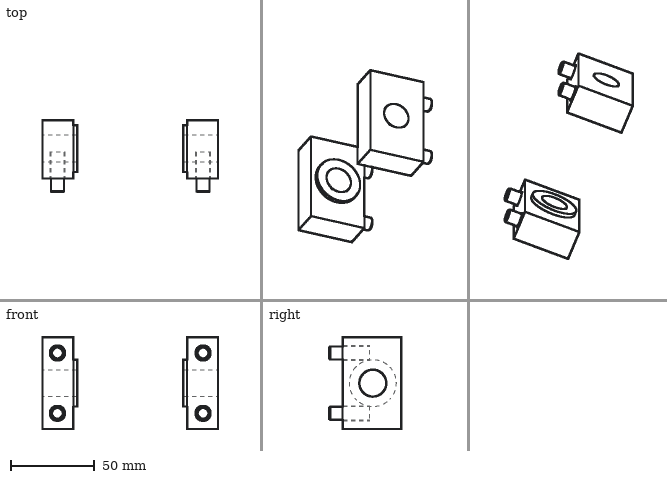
import cadquery as cq

overall_length = 105.0
side_signs = (-1, 1)

block_width = 18.5
block_depth = 35.0
block_height = 55.0

bore_diameter = 16.0
bore_from_back = 17.0
boss_diameter = 28.0
boss_thickness = 2.5

pin_diameter = 8.0
pin_protrusion = 8.1
pin_seat_depth = 16.0
pin_chamfer = 0.7
pin_hole_diameter = 9.0
pin_spacing = 36.0
pin_from_outer_face = 9.0

outer_face_x = overall_length / 2
inner_face_x = outer_face_x - block_width
block_center_x = outer_face_x - block_width / 2
bore_y = block_depth - bore_from_back
pin_x = outer_face_x - pin_from_outer_face
pin_heights = (-pin_spacing / 2, pin_spacing / 2)


def cylinder_along_x(diameter, start_x, length):
    """Cylinder on the bore axis, growing toward +X from start_x."""
    return (
        cq.Workplane("YZ", origin=(start_x, bore_y, 0))
        .circle(diameter / 2)
        .extrude(length)
    )


def cylinder_along_y(diameter, x, z, start_y, length):
    """Cylinder parallel to Y, growing toward -Y from start_y."""
    return (
        cq.Workplane("XZ", origin=(x, start_y, z))
        .circle(diameter / 2)
        .extrude(length)
    )


def make_block(side):
    """Bearing block with inner boss, through bore and two blind pin holes."""
    block = cq.Workplane("XY").box(
        block_width, block_depth, block_height, centered=(True, False, True)
    )
    block = block.translate((side * block_center_x, 0, 0))

    boss_tip_x = inner_face_x - boss_thickness
    boss_start_x = min(side * inner_face_x, side * boss_tip_x)
    block = block.union(cylinder_along_x(boss_diameter, boss_start_x, boss_thickness))

    bore_start_x = min(side * outer_face_x, side * boss_tip_x)
    bore_length = block_width + boss_thickness
    block = block.cut(cylinder_along_x(bore_diameter, bore_start_x, bore_length))

    for z in pin_heights:
        hole = cylinder_along_y(pin_hole_diameter, side * pin_x, z, pin_seat_depth, pin_seat_depth)
        block = block.cut(hole)
    return block


def make_pin(side, z):
    """Pin resting on the floor of its hole, chamfered at the free end."""
    pin_length = pin_seat_depth + pin_protrusion
    pin = cylinder_along_y(pin_diameter, side * pin_x, z, pin_seat_depth, pin_length)
    return pin.faces("<Y").chamfer(pin_chamfer)


blocks = [make_block(side).val() for side in side_signs]
pins = [make_pin(side, z).val() for side in side_signs for z in pin_heights]

result = cq.Compound.makeCompound([*blocks, *pins])